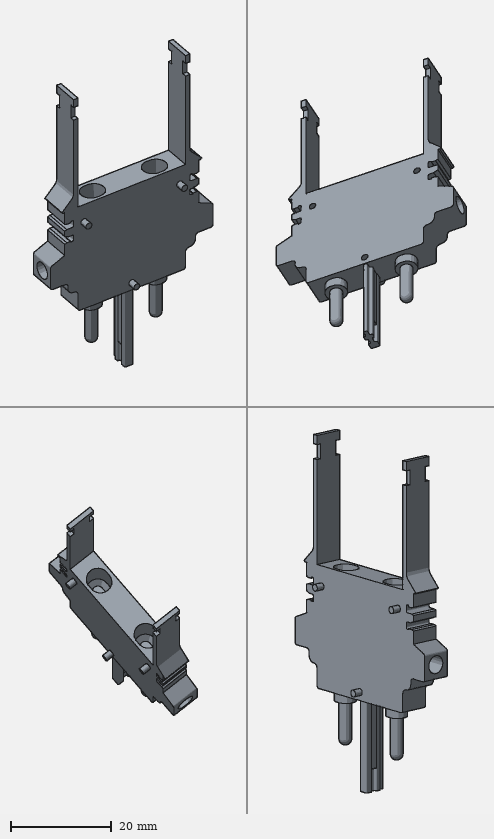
import cadquery as cq

thickness = 6.0
base_half = 12.9
base_fillet = 0.6
step_half = 15.3
step_z = 4.95
step_outer_radius = 1.4
step_inner_radius = 0.7
base_inner_radius = 0.9
wing_half = 19.5
wing_bottom = 7.65
wing_top = 13.3
wing_slope_top = 14.8
wing_fillet = 0.6
body_half = 16.1
body_top = 25.4

notch_floor = 14.0
lip_inner = 14.7
lip_outer = 15.6
low_notch_bottom = 17.7
low_notch_top = 19.0
high_notch_bottom = 20.9
high_notch_top = 22.2
lip_height = 0.2
mouth_flare = 0.4
relief_radius = 0.35

arm_top = 51.9
arm_half = 14.0
arm_root = 28.3
arm_root_fillet = 1.8
barb_half = 16.8
barb_bottom = 25.2
barb_undercut = 0.35
grip_bottom = 46.95
grip_top = 50.0
grip_depth = 1.0

peg_diameter = 1.4
peg_length = 1.8
peg_places = [(-11.5, 21.2), (11.5, 21.2), (0, 1.8)]

axis_x = 0.1
well_y = 7.45
well_radius = 2.3
well_flat = 0.8
well_floor_radius = 1.1
well_bore_depth = 7.1
well_taper = 45
side_hole_diameter = 3.7
side_hole_z = 10.8
side_hole_depth = 5.7

overall_height = 70.9
key_length = overall_height - arm_top
key_left = -2.8
key_right = 2.09
key_half = 1.0
web_half = 0.4
narrow_rib = (-1.55, -0.53)
wide_rib_left = 0.65
key_fillet = 0.2
filler_half = 0.885
filler_length = 14.3

pin_y = 7.7
pin_radius = 1.31
pin_length = 11.1
collar_radius = 2.05
collar_flat = 0.4
collar_height = 2.05


def plate_half():
    """Half of the housing with its arm, on the +Y side."""
    shoulder_top = arm_root - (barb_half - arm_half)
    outline = (
        cq.Workplane("YZ", origin=(-thickness / 2, 0, 0))
        .moveTo(0, 0)
        .lineTo(base_half, 0)
        .lineTo(base_half, step_z)
        .lineTo(step_half, step_z)
        .lineTo(step_half, wing_bottom)
        .lineTo(wing_half, wing_bottom)
        .lineTo(wing_half, wing_top)
        .lineTo(body_half, wing_slope_top)
        .lineTo(body_half, barb_bottom)
        .lineTo(barb_half - barb_undercut, barb_bottom)
        .lineTo(barb_half, shoulder_top)
        .lineTo(arm_half, arm_root)
        .lineTo(arm_half, arm_top)
        .lineTo(base_half, arm_top)
        .lineTo(base_half, body_top)
        .lineTo(0, body_top)
        .close()
    )
    plate = outline.extrude(thickness)
    corners = [
        (base_half, 0, base_fillet),
        (base_half, step_z, base_inner_radius),
        (step_half, step_z, step_outer_radius),
        (step_half, wing_bottom, step_inner_radius),
        (wing_half, wing_bottom, wing_fillet),
        (wing_half, wing_top, wing_fillet),
        (arm_half, arm_root, arm_root_fillet),
    ]
    for y, z, radius in corners:
        plate = plate.edges(cq.selectors.NearestToPointSelector((0, y, z))).fillet(radius)
    return plate


def lower_notch():
    """Notch with rounded inner corners, a lip on its lower side and a flared mouth."""
    return (
        cq.Workplane("YZ", origin=(-thickness / 2, 0, 0))
        .moveTo(notch_floor, low_notch_bottom - lip_height)
        .lineTo(lip_inner, low_notch_bottom - lip_height)
        .lineTo(lip_inner, low_notch_bottom)
        .lineTo(lip_outer, low_notch_bottom)
        .lineTo(body_half, low_notch_bottom - lip_height)
        .lineTo(body_half, low_notch_top + mouth_flare)
        .lineTo(lip_outer - mouth_flare, low_notch_top)
        .lineTo(notch_floor, low_notch_top)
        .close()
        .extrude(thickness)
        .faces("<Y")
        .edges("|X")
        .fillet(relief_radius)
    )


def upper_notch():
    """Notch with a rounded relief at its upper inner corner and a flared mouth."""
    relief_y = notch_floor + relief_radius
    return (
        cq.Workplane("YZ", origin=(-thickness / 2, 0, 0))
        .moveTo(notch_floor, high_notch_top)
        .lineTo(notch_floor, high_notch_bottom + relief_radius)
        .radiusArc((relief_y, high_notch_bottom), -relief_radius)
        .lineTo(lip_outer, high_notch_bottom)
        .lineTo(body_half, high_notch_bottom - lip_height)
        .lineTo(body_half, high_notch_top + lip_height)
        .lineTo(lip_outer, high_notch_top)
        .lineTo(notch_floor + 2 * relief_radius, high_notch_top)
        .threePointArc((relief_y, high_notch_top + relief_radius), (notch_floor, high_notch_top))
        .close()
        .extrude(thickness)
    )


def grip_notches():
    """The two side notches near the tip of the +Y arm."""
    return (
        cq.Workplane("XZ", origin=(0, arm_half, 0))
        .pushPoints([(side * thickness / 2, (grip_bottom + grip_top) / 2) for side in (-1, 1)])
        .rect(2 * grip_depth, grip_top - grip_bottom)
        .extrude(arm_half - base_half)
    )


def contact_well():
    """Straight slot-shaped well in the top face, with a tapered bottom and a flat floor."""
    bore = (
        cq.Workplane("XY", origin=(axis_x, well_y, body_top))
        .slot2D(well_flat + 2 * well_radius, 2 * well_radius, 90)
        .extrude(-well_bore_depth)
    )
    bottom = (
        cq.Workplane("XY", origin=(axis_x, well_y, body_top - well_bore_depth))
        .slot2D(well_flat + 2 * well_radius, 2 * well_radius, 90)
        .extrude(well_floor_radius - well_radius, taper=well_taper)
    )
    return bore.union(bottom)


def side_hole():
    return (
        cq.Workplane("XZ", origin=(axis_x, wing_half, side_hole_z))
        .circle(side_hole_diameter / 2)
        .extrude(side_hole_depth)
    )


def peg_set(start_x):
    """The three peg cylinders, starting at start_x and running toward +X."""
    return (
        cq.Workplane("YZ", origin=(start_x, 0, 0))
        .pushPoints(peg_places)
        .circle(peg_diameter / 2)
        .extrude(peg_length)
    )


def key_box(left, right, half, length):
    return (
        cq.Workplane("XY")
        .center((left + right) / 2, 0)
        .rect(right - left, 2 * half)
        .extrude(-length)
    )


def key_blade():
    """Flat blade with one narrow and one wide rib, and a filler between them."""
    blade = key_box(key_left, key_right, web_half, key_length)
    blade = blade.union(key_box(*narrow_rib, key_half, key_length))
    blade = blade.union(key_box(wide_rib_left, key_right, key_half, key_length))
    blade = blade.edges("|Z").fillet(key_fillet)
    filler = key_box(narrow_rib[1] - key_fillet, wide_rib_left + key_fillet, filler_half, filler_length)
    return blade.union(filler)


def make_housing():
    half = plate_half()
    for cutter in (lower_notch(), upper_notch(), grip_notches(), contact_well(), side_hole()):
        half = half.cut(cutter)
    housing = half.union(half.mirror("XZ"))
    housing = housing.cut(peg_set(-thickness / 2))
    housing = housing.union(peg_set(thickness / 2))
    return housing.union(key_blade())


def make_pin(y):
    """Round-tipped pin whose slot-shaped collar seats on the housing underside."""
    collar = (
        cq.Workplane("XY", origin=(axis_x, y, 0))
        .slot2D(collar_flat + 2 * collar_radius, 2 * collar_radius, 90)
        .extrude(-collar_height)
    )
    shank_length = pin_length - pin_radius
    shank = cq.Workplane("XY", origin=(axis_x, y, 0)).circle(pin_radius).extrude(-shank_length)
    tip = cq.Workplane("XY", origin=(axis_x, y, -shank_length)).sphere(pin_radius)
    return collar.union(shank).union(tip)


housing = make_housing()
pins = [make_pin(side * pin_y) for side in (-1, 1)]

result = cq.Compound.makeCompound([housing.val(), *[pin.val() for pin in pins]])